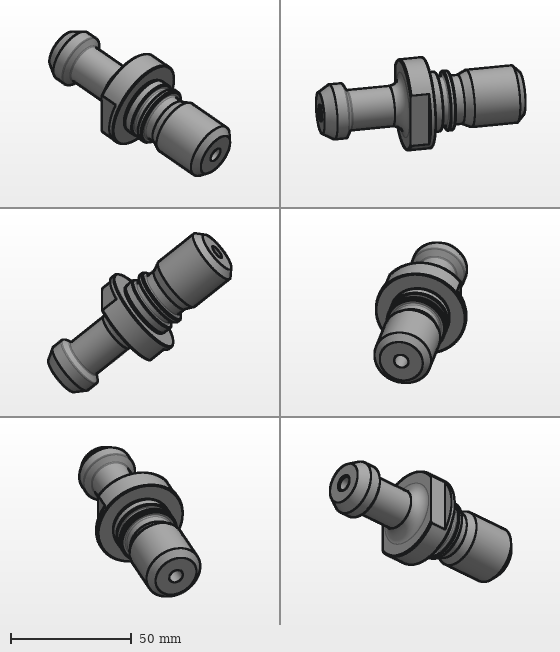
import cadquery as cq

length = 85
head_start = 4.85
head_end = 9.9
shank_start = 11.7
fillet_start = 29.8
flange_start = 34.9
flat_end = 42.8
flange_end = 45.0
relief_end = 45.3
collar_start = 45.9
collar_end = 49.55
ring_start = 52.6
ring_end = 54.9
neck_end = 59.1
thread_start = 62.9

nose_diameter = 17.3
head_diameter = 23.0
shank_diameter = 16.9
fillet_base_diameter = 17
flange_diameter = 38.0
relief_diameter = 24.6
collar_diameter = 25.0
groove_diameter = 20.8
neck_diameter = 20.5
thread_diameter = 24.0
bore_diameter = 6.0

fillet_radius = flange_start - fillet_start
front_chamfer = 0.4
edge_chamfer = 0.3
ring_chamfer = 0.5
shoulder_radius = 0.5
corner_radius = 0.5
thread_chamfer = 2.9
bore_chamfer = 0.5
across_flats = 30.0

selection_reach = 0.04


def turned_section(points):
    """Solid of revolution about X from (station, radius) points, closed along the axis."""
    first = points[0][0]
    last = points[-1][0]
    outline = cq.Workplane("XY").moveTo(first, 0)
    for station, radius in points:
        outline = outline.lineTo(station, radius)
    return outline.lineTo(last, 0).close().revolve(360, (0, 0, 0), (1, 0, 0))


def cylinder(start, end, diameter):
    return cq.Workplane("YZ", origin=(start, 0, 0)).circle(diameter / 2).extrude(end - start)


def edge_at(station):
    """Selector for the circular edges centred on the axis at one station."""
    reach = selection_reach
    return cq.selectors.BoxSelector((station - reach, -reach, -reach), (station + reach, reach, reach))


def gripping_head():
    """Head with a conical nose and a conical shoulder, its edge and root rounded."""
    body = turned_section([
        (0, nose_diameter / 2),
        (head_start, head_diameter / 2),
        (head_end, head_diameter / 2),
        (shank_start, shank_diameter / 2),
        (fillet_start, shank_diameter / 2),
    ])
    for station in (head_end, shank_start):
        body = body.edges(edge_at(station)).fillet(shoulder_radius)
    return body


def shank_fillet():
    """Concave round that spreads the shank into the flange."""
    base = fillet_base_diameter / 2
    return (
        cq.Workplane("XY")
        .moveTo(fillet_start, 0)
        .lineTo(fillet_start, base)
        .radiusArc((flange_start, base + fillet_radius), -fillet_radius)
        .lineTo(flange_start, 0)
        .close()
        .revolve(360, (0, 0, 0), (1, 0, 0))
    )


def flange():
    """Round flange with two wrench flats that stop short of its rear face."""
    body = cylinder(flange_start, flange_end, flange_diameter)
    body = body.faces("<X").edges().chamfer(front_chamfer)
    body = body.faces(">X").edges().chamfer(edge_chamfer)
    flat_length = flat_end - flange_start
    flat_depth = (flange_diameter - across_flats) / 2
    for side in (-1, 1):
        cutter = cq.Workplane("XY").box(flat_length, flat_depth, flange_diameter).translate(
            (flange_start + flat_length / 2, side * (across_flats + flat_depth) / 2, 0)
        )
        body = body.cut(cutter)
    return body


def grooved_pilot():
    """Collar and sealing ring with a round-cornered groove between them and a neck behind."""
    collar_radius = collar_diameter / 2
    groove_bottom = groove_diameter / 2
    neck_radius = neck_diameter / 2
    return (
        cq.Workplane("XY")
        .moveTo(flange_end, 0)
        .lineTo(flange_end, relief_diameter / 2)
        .lineTo(relief_end, relief_diameter / 2)
        .lineTo(collar_start, collar_radius)
        .lineTo(collar_end - edge_chamfer, collar_radius)
        .lineTo(collar_end, collar_radius - edge_chamfer)
        .lineTo(collar_end, groove_bottom + corner_radius)
        .radiusArc((collar_end + corner_radius, groove_bottom), -corner_radius)
        .lineTo(ring_start - corner_radius, groove_bottom)
        .radiusArc((ring_start, groove_bottom + corner_radius), -corner_radius)
        .lineTo(ring_start, collar_radius - edge_chamfer)
        .lineTo(ring_start + edge_chamfer, collar_radius)
        .lineTo(ring_end - ring_chamfer, collar_radius)
        .lineTo(ring_end, collar_radius - ring_chamfer)
        .lineTo(ring_end, neck_radius + corner_radius)
        .radiusArc((ring_end + corner_radius, neck_radius), -corner_radius)
        .lineTo(neck_end, neck_radius)
        .lineTo(neck_end, 0)
        .close()
        .revolve(360, (0, 0, 0), (1, 0, 0))
    )


def threaded_end():
    """Plain cylinder at thread size with a conical run-in and a chamfered tip."""
    return turned_section([
        (neck_end, neck_diameter / 2),
        (thread_start, thread_diameter / 2),
        (length - thread_chamfer, thread_diameter / 2),
        (length, thread_diameter / 2 - thread_chamfer),
    ])


def bore():
    """Through bore with a chamfered mouth in the nose."""
    mouth = turned_section([
        (0, bore_diameter / 2 + bore_chamfer),
        (bore_chamfer, bore_diameter / 2),
    ])
    return cylinder(0, length, bore_diameter).union(mouth)


result = gripping_head().union(shank_fillet()).union(flange())
result = result.union(grooved_pilot()).union(threaded_end())
result = result.cut(bore())